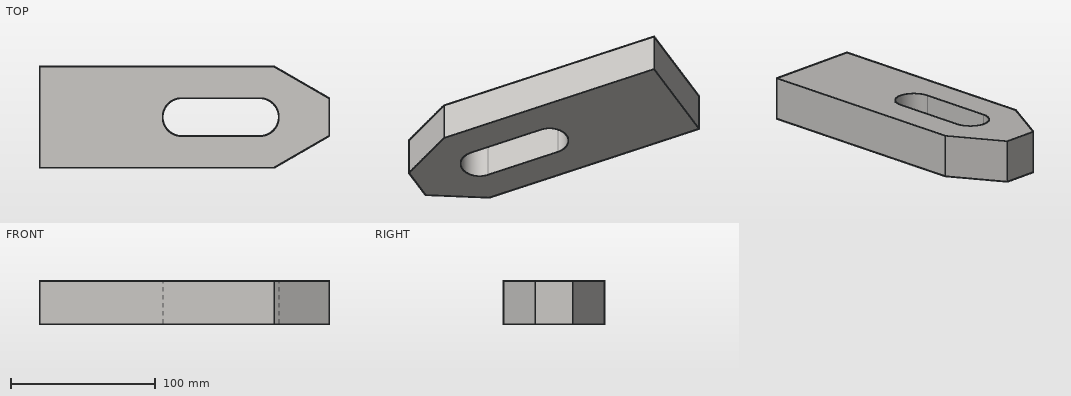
import cadquery as cq
import math

LENGTH = 200.0
WIDTH = 70.0
THICKNESS = 30.0

NOSE_WIDTH = 26.0
NOSE_ANGLE = 30.0

SLOT_WIDTH = 26.0
SLOT_LENGTH = 80.0
SLOT_START = 85.0

nose_length = (WIDTH - NOSE_WIDTH) / 2 / math.tan(math.radians(NOSE_ANGLE))
shoulder_x = LENGTH - nose_length
slot_center_x = SLOT_START + SLOT_LENGTH / 2


def make_bar():
    """Bar with its square end at X = 0, centred on Y = 0, standing on Z = 0."""
    return (
        cq.Workplane("XY")
        .moveTo(0, -WIDTH / 2)
        .lineTo(shoulder_x, -WIDTH / 2)
        .lineTo(LENGTH, -NOSE_WIDTH / 2)
        .lineTo(LENGTH, NOSE_WIDTH / 2)
        .lineTo(shoulder_x, WIDTH / 2)
        .lineTo(0, WIDTH / 2)
        .close()
        .extrude(THICKNESS)
    )


def make_slot():
    """Round-ended cutter through the full thickness."""
    return (
        cq.Workplane("XY")
        .center(slot_center_x, 0)
        .slot2D(SLOT_LENGTH, SLOT_WIDTH)
        .extrude(THICKNESS)
    )


result = make_bar().cut(make_slot())